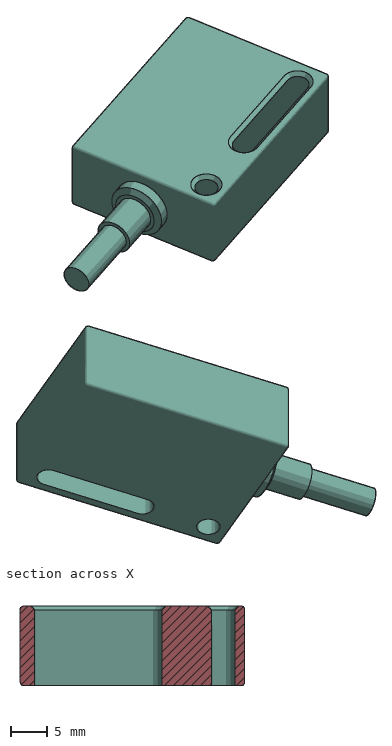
import cadquery as cq

body_width = 23.0
body_length = 31.0
body_height = 11.0
edge_radius = 0.5

mount_x = 8.5
mount_diameter = 3.2
countersink = 0.55
countersink_slope = 45
slot_center_distance = 14.3
slot_back_center_to_wall = 3.65
hole_to_front_wall = 3.0

collar_diameter = 8.0
collar_length = 2.0
collar_bevel_length = 0.5
collar_bevel_depth = 0.9
sleeve_diameter = 5.1
sleeve_length = 5.6
cable_diameter = 4.0
cable_length = 10.0
outlet_embedding = 0.5

front_y = -body_length / 2
back_y = body_length / 2
top_z = body_height / 2
slot_y = back_y - slot_back_center_to_wall - slot_center_distance / 2
hole_y = front_y + hole_to_front_wall


def housing():
    """Rectangular block with all edges rounded."""
    block = cq.Workplane("XY").box(body_width, body_length, body_height)
    return block.edges().fillet(edge_radius)


def mounting_cutter(center_y, center_distance):
    """Through cutter, round or stretched along Y, with a countersunk rim at the top face."""
    rim_diameter = mount_diameter + 2 * countersink

    def outline(diameter):
        plane = cq.Workplane("XY", origin=(mount_x, center_y, top_z))
        if center_distance == 0:
            return plane.circle(diameter / 2)
        return plane.slot2D(center_distance + diameter, diameter, 90)

    through = outline(mount_diameter).extrude(-body_height)
    rim = outline(rim_diameter).extrude(-countersink, taper=countersink_slope)
    return through.union(rim)


def cable_outlet():
    """Collar, sleeve and cable revolved as one profile about the Y axis."""
    collar_radius = collar_diameter / 2
    collar_y = front_y - collar_length
    sleeve_y = collar_y - sleeve_length
    profile = (
        cq.Workplane("XY")
        .moveTo(0, front_y + outlet_embedding)
        .lineTo(collar_radius, front_y + outlet_embedding)
        .lineTo(collar_radius, collar_y + collar_bevel_length)
        .lineTo(collar_radius - collar_bevel_depth, collar_y)
        .lineTo(sleeve_diameter / 2, collar_y)
        .lineTo(sleeve_diameter / 2, sleeve_y)
        .lineTo(cable_diameter / 2, sleeve_y)
        .lineTo(cable_diameter / 2, sleeve_y - cable_length)
        .lineTo(0, sleeve_y - cable_length)
        .close()
    )
    return profile.revolve(360, (0, 0, 0), (0, 1, 0))


mounting_slot = mounting_cutter(slot_y, slot_center_distance)
mounting_hole = mounting_cutter(hole_y, 0)
result = housing().cut(mounting_slot).cut(mounting_hole).union(cable_outlet())